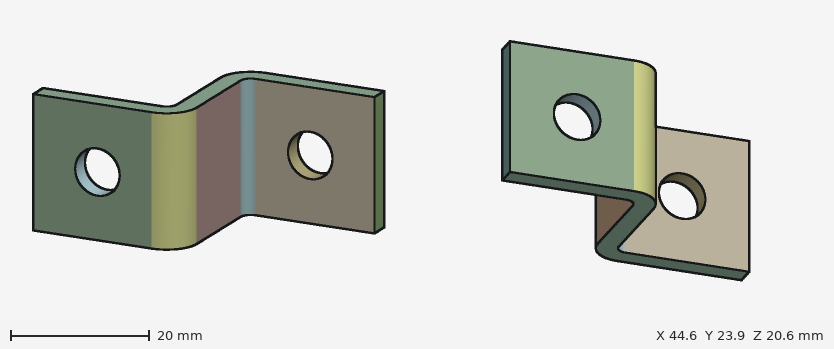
import cadquery as cq

length = 44.6
depth = 23.85
height = 20.65
thickness = 3.2
inner_bend_radius = 1.6
hole_diameter = 7.15

outer_bend_radius = inner_bend_radius + thickness
hole_edge_distance = height / 2
hole_x = length / 2 - hole_edge_distance


def make_strip():
    """Z-bent strip centred on the origin, with its web parallel to Y."""
    half_length = length / 2
    half_depth = depth / 2
    half_web = thickness / 2
    outline = [
        (-half_length, -half_depth),
        (half_web, -half_depth),
        (half_web, half_depth - thickness),
        (half_length, half_depth - thickness),
        (half_length, half_depth),
        (-half_web, half_depth),
        (-half_web, -half_depth + thickness),
        (-half_length, -half_depth + thickness),
    ]
    strip = cq.Workplane("XY").polyline(outline).close().extrude(height / 2, both=True)

    for side in (-1, 1):
        outer_corner = (-side * half_web, side * half_depth, 0)
        inner_corner = (side * half_web, side * (half_depth - thickness), 0)
        for corner, radius in (
            (outer_corner, outer_bend_radius),
            (inner_corner, inner_bend_radius),
        ):
            bend_edge = cq.selectors.NearestToPointSelector(corner)
            strip = strip.edges("|Z").edges(bend_edge).fillet(radius)
    return strip


def make_flange_holes():
    """Cylinders along Y, one for the mounting hole in each flange."""
    return (
        cq.Workplane("XZ")
        .pushPoints([(-hole_x, 0), (hole_x, 0)])
        .circle(hole_diameter / 2)
        .extrude(depth, both=True)
    )


result = make_strip().cut(make_flange_holes())